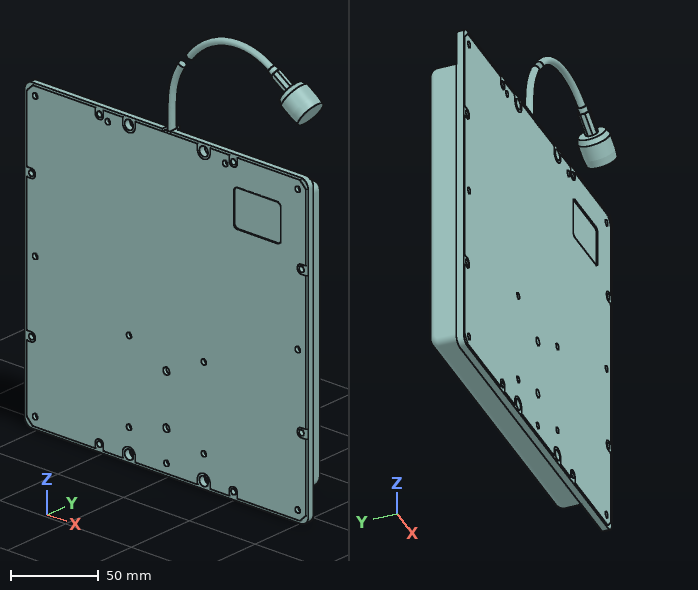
import cadquery as cq
import math


flange_side = 215.5
flange_thickness = 4.5
flange_corner_radius = 5.7
tray_side = 190.0
tray_depth = 28.0
tray_edge_radius = 5.5

rim_width = 1.7
plate_side = flange_side - 2 * rim_width
plate_thickness = 2.5
plate_corner_chamfer = 4.5

edge_hole_offset = 102.7
mount_hole_spacing = 28.5
mount_hole_diameter = 6.5
mount_boss_radius = 4.8
rim_screw_spacing = 51.0
rim_screw_diameter = 3.7
rim_screw_boss_radius = 3.0
blind_hole_depth = 3.5

plate_screw_offset = 99.8
plate_screw_top_offset = 44.7
plate_screw_diameter = 3.7
pilot_diameter = 2.0

bracket_hole_diameter = 3.7
bracket_spacing = 28.5
bracket_heights = (-28.5, -85.5)
center_hole_diameter = 4.8
center_hole_heights = (-42.5, -78.0)
label_width = 35.8
label_height = 26.0
label_center = (69.0, 74.5)
label_corner_radius = 2.8
label_recess_depth = 0.9

overall_height = 284.5
cable_diameter = 5.0
cable_radius = cable_diameter / 2
cable_y = 5.0
bend_radius = 45.8
lower_bend_start_z = 124.0
lower_bend_angle = 34
upper_bend_center_x = 50.0
upper_bend_start_angle = 143
upper_bend_end_angle = 56
sleeve_radius = 4.5
cable_bore_diameter = 6.0

ferrule_length = 17.5
ferrule_collar_diameter = 6.0
ferrule_collar_length = 3.7
ferrule_crimp_sides = 8
ferrule_crimp_width = 7.0
nut_radius = 10.0
nut_length = 18.0
nut_back_radius = 8.5
nut_back_taper = 3.5
nut_front_radius = 9.5
nut_front_taper = 5.0

flange_top = flange_side / 2
tray_top = tray_side / 2
upper_bend_center_z = overall_height - flange_top - cable_radius - bend_radius

mount_holes = [(x, z) for x in (-mount_hole_spacing, mount_hole_spacing)
               for z in (-edge_hole_offset, edge_hole_offset)]
rim_screws_top_bottom = [(x, z) for x in (-rim_screw_spacing, rim_screw_spacing)
                         for z in (-edge_hole_offset, edge_hole_offset)]
rim_screws_sides = [(z, x) for x, z in rim_screws_top_bottom]
rim_screws = rim_screws_top_bottom + rim_screws_sides
plate_screws = [(x, z) for x in (-plate_screw_offset, plate_screw_offset)
                for z in (-plate_screw_offset, 0, plate_screw_offset)]
plate_screws += [(x, plate_screw_offset) for x in (-plate_screw_top_offset, plate_screw_top_offset)]
plate_screws += [(0, -plate_screw_offset)]


def facing_back(y):
    """Sketch plane at the given Y: local x is X, local y is Z, and extrusion goes toward -Y."""
    return cq.Workplane("XZ", origin=(0, y, 0))


def bores(points, diameter, depth):
    """Round cutters that go from the back face Y = 0 to the given depth."""
    return facing_back(depth).pushPoints(points).circle(diameter / 2).extrude(depth)


def edge_boss(x, z, radius):
    """U-shaped boss around a hole, running out to the nearest edge of the flange."""
    boss = bores([(x, z)], 2 * radius, plate_thickness)
    reach = flange_top - edge_hole_offset
    if abs(z) > abs(x):
        center = (x, math.copysign(edge_hole_offset + reach / 2, z))
        size = (2 * radius, reach)
    else:
        center = (math.copysign(edge_hole_offset + reach / 2, x), z)
        size = (reach, 2 * radius)
    stem = facing_back(plate_thickness).center(*center).rect(*size).extrude(plate_thickness)
    return boss.union(stem)


def make_plate_outline():
    """Solid back plate with chamfered corners and a notch at each boss, still without its holes."""
    outline = (
        facing_back(plate_thickness)
        .rect(plate_side, plate_side)
        .extrude(plate_thickness)
        .edges("|Y")
        .chamfer(plate_corner_chamfer)
    )
    for x, z in mount_holes:
        outline = outline.cut(edge_boss(x, z, mount_boss_radius))
    for x, z in rim_screws:
        outline = outline.cut(edge_boss(x, z, rim_screw_boss_radius))
    return outline


def make_plate(outline):
    """Back plate with its through holes and the label recess."""
    bracket_holes = [(x, z) for x in (-bracket_spacing, bracket_spacing) for z in bracket_heights]
    center_holes = [(0, z) for z in center_hole_heights]
    label_recess = (
        facing_back(label_recess_depth)
        .center(*label_center)
        .rect(label_width, label_height)
        .extrude(label_recess_depth)
        .edges("|Y")
        .fillet(label_corner_radius)
    )
    return (
        outline
        .cut(bores(plate_screws, plate_screw_diameter, plate_thickness))
        .cut(bores(bracket_holes, bracket_hole_diameter, plate_thickness))
        .cut(bores(center_holes, center_hole_diameter, plate_thickness))
        .cut(label_recess)
    )


def make_housing(plate_outline):
    """Flange and tray, with the plate recess, the cable sleeve and the holes."""
    flange = (
        facing_back(flange_thickness)
        .rect(flange_side, flange_side)
        .extrude(flange_thickness)
        .edges("|Y")
        .fillet(flange_corner_radius)
    )
    tray = (
        facing_back(tray_depth)
        .rect(tray_side, tray_side)
        .extrude(tray_depth - flange_thickness)
        .edges("|Y or >Y")
        .fillet(tray_edge_radius)
    )
    exit_length = flange_top - tray_top
    cable_exit = cq.Workplane("XY", origin=(0, cable_y, tray_top))
    sleeve = cable_exit.circle(sleeve_radius).extrude(exit_length)
    sleeve = sleeve.intersect(
        cq.Workplane("XY", origin=(0, flange_thickness + sleeve_radius, tray_top))
        .rect(2 * sleeve_radius, 2 * sleeve_radius)
        .extrude(exit_length)
    )
    cable_bore = cable_exit.circle(cable_bore_diameter / 2).extrude(exit_length)
    rim_slot = (
        cq.Workplane("XY", origin=(0, cable_y / 2, plate_side / 2))
        .rect(cable_bore_diameter, cable_y)
        .extrude(rim_width)
    )
    return (
        flange
        .union(tray)
        .union(sleeve)
        .cut(plate_outline)
        .cut(cable_bore)
        .cut(rim_slot)
        .cut(bores(mount_holes, mount_hole_diameter, flange_thickness))
        .cut(bores(rim_screws, rim_screw_diameter, blind_hole_depth))
        .cut(bores(plate_screws, pilot_diameter, blind_hole_depth))
    )


def on_arc(center_x, center_z, degrees):
    """Point of a cable bend, as (X, Z); the angle counts from +X toward +Z."""
    angle = math.radians(degrees)
    return (center_x + bend_radius * math.cos(angle), center_z + bend_radius * math.sin(angle))


def make_lower_cable():
    """Cable from the tray wall straight up through the sleeve and into the bend."""
    end_angle = 180 - lower_bend_angle
    middle_angle = 180 - lower_bend_angle / 2
    lean = math.radians(lower_bend_angle)
    path = (
        facing_back(cable_y)
        .moveTo(0, tray_top)
        .spline(
            [
                (0, lower_bend_start_z),
                on_arc(bend_radius, lower_bend_start_z, middle_angle),
                on_arc(bend_radius, lower_bend_start_z, end_angle),
            ],
            tangents=[(0, 1), (math.sin(lean), math.cos(lean))],
            includeCurrent=True,
        )
    )
    section = cq.Workplane("XY", origin=(0, cable_y, tray_top)).circle(cable_radius)
    return section.sweep(path)


def make_upper_cable(start, end):
    """Arched cable from the gap to the connector."""
    middle_angle = (upper_bend_start_angle + upper_bend_end_angle) / 2
    middle = on_arc(upper_bend_center_x, upper_bend_center_z, middle_angle)
    path = facing_back(cable_y).moveTo(*start).threePointArc(middle, end)
    tangent_angle = math.radians(upper_bend_start_angle - 90)
    section_plane = cq.Plane(
        origin=(start[0], cable_y, start[1]),
        xDir=(-math.sin(tangent_angle), 0, math.cos(tangent_angle)),
        normal=(math.cos(tangent_angle), 0, math.sin(tangent_angle)),
    )
    return cq.Workplane(section_plane).circle(cable_radius).sweep(path)


def connector_plane(cable_end):
    """Plane across the cable end: its normal runs along the connector and its x is +Y."""
    axis_angle = math.radians(upper_bend_end_angle - 90)
    return cq.Plane(
        origin=(cable_end[0], cable_y, cable_end[1]),
        xDir=(0, 1, 0),
        normal=(math.cos(axis_angle), 0, math.sin(axis_angle)),
    )


def make_ferrule(plane):
    """Round collar at the cable, then an eight-sided crimp with flats toward -Y and +Y."""
    half_facet_angle = 180 / ferrule_crimp_sides
    corner_diameter = ferrule_crimp_width / math.cos(math.radians(half_facet_angle))
    collar = cq.Workplane(plane).circle(ferrule_collar_diameter / 2).extrude(ferrule_collar_length)
    crimp = (
        cq.Workplane(plane)
        .workplane(offset=ferrule_collar_length)
        .transformed(rotate=(0, 0, half_facet_angle))
        .polygon(ferrule_crimp_sides, corner_diameter)
        .extrude(ferrule_length - ferrule_collar_length)
    )
    return collar.union(crimp)


def make_nut(plane):
    """Coupling nut: a cylinder that tapers a little at both ends."""
    back = ferrule_length
    front = ferrule_length + nut_length
    profile_plane = cq.Plane(origin=plane.origin, xDir=plane.xDir, normal=plane.yDir.multiply(-1))
    return (
        cq.Workplane(profile_plane)
        .moveTo(0, back)
        .lineTo(nut_back_radius, back)
        .lineTo(nut_radius, back + nut_back_taper)
        .lineTo(nut_radius, front - nut_front_taper)
        .lineTo(nut_front_radius, front)
        .lineTo(0, front)
        .close()
        .revolve(360, (0, 0), (0, 1))
    )


plate_outline = make_plate_outline()
plate = make_plate(plate_outline)
housing = make_housing(plate_outline)

upper_start = on_arc(upper_bend_center_x, upper_bend_center_z, upper_bend_start_angle)
upper_end = on_arc(upper_bend_center_x, upper_bend_center_z, upper_bend_end_angle)
lower_cable = make_lower_cable()
upper_cable = make_upper_cable(upper_start, upper_end)

connector = connector_plane(upper_end)
ferrule = make_ferrule(connector)
nut = make_nut(connector)

result = cq.Compound.makeCompound([
    housing.val(),
    plate.val(),
    lower_cable.val(),
    upper_cable.val(),
    ferrule.val(),
    nut.val(),
])